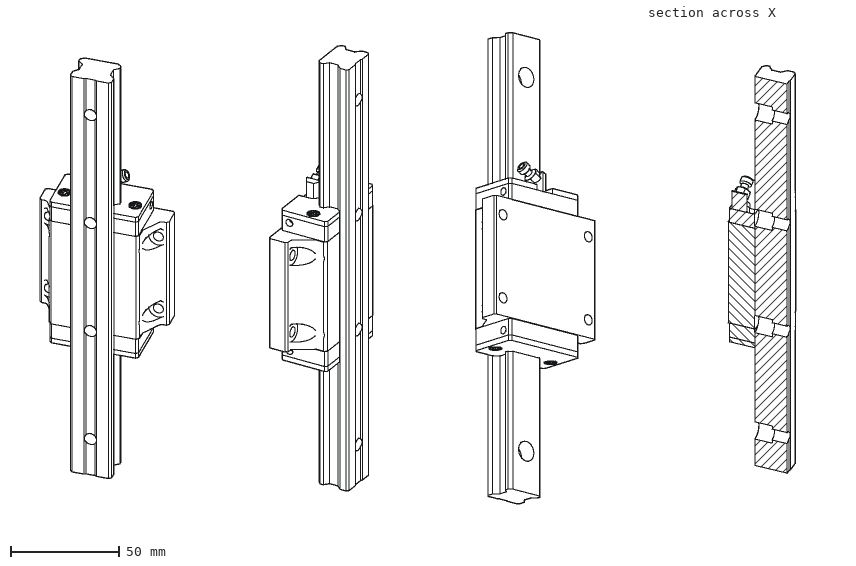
import cadquery as cq
import math


rail_length = 220.0
rail_width = 20.0
rail_height = 16.5
rail_top_width = 16.5
rail_waist_width = 15.2
land_top = 15.0
land_bottom = 13.2
waist_top = 11.2
waist_bottom = 6.8
foot_top = 4.2
foot_chamfer = 1.0
groove_width = 6.2
groove_floor_width = 4.5
groove_depth = 0.5
bolt_hole_diameter = 6.0
bolt_head_diameter = 9.5
bolt_head_depth = 8.5
bolt_pitch = 60.0
bolt_count = 4

block_middle = -4.5
block_length = 57.2
block_width = 63.0
block_top = 30.0
block_bottom = 4.6
body_width = 44.0
body_chamfer = 1.3
flange_bottom = 20.0
flange_top_chamfer = 0.9
flange_bottom_chamfer = 1.0
slope_top_width = 55.5
slope_bottom = 10.5
slope_top_fillet = 2.2
slope_bottom_fillet = 1.0
mount_spacing_x = 53.0
mount_spacing_z = 40.0
mount_hole_diameter = 4.8
spotface_diameter = 9.5

cap_width = 43.1
cap_top = 29.3
cap_chamfer = 1.0
cap_length = 8.0
side_hole_diameter = 3.5
side_hole_depth = 3.3
side_hole_height = 24.6
side_hole_offset = 4.8
seal_thickness = 2.6
screw_spacing = 34.3
screw_height = 14.3
screw_seat_diameter = 6.0
screw_head_diameter = 4.8
screw_recess_depth = 0.7
screw_cross_length = 3.5
screw_cross_width = 1.3
slot_width = 10.0
nipple_height = 24.2

post_corner_width = 8.0
post_length = 10.0
bevel_start = 0.5
fitting_rise = 30.0
fitting_root = 1.0
collar_corner_width = 7.5
collar_length = 2.6
neck_diameter = 3.5
neck_start = 3.5
neck_end = 5.5
head_diameter = 5.7
head_start = 6.2
head_chamfer = 0.7
fitting_length = 9.0
bore_diameter = 2.9
bore_depth = 2.2

full_turn = 360.0
quarter_turn = full_turn / 4
hexagon_sides = 6
block_front = block_middle + block_length / 2
cap_front = block_front + cap_length


def mirrored_outline(right_half):
    """Closed outline from its right half, listed from bottom to top."""
    left_half = [(-x, y) for x, y in reversed(right_half)]
    return cq.Workplane("XY").polyline(right_half + left_half).close()


def rail_bar():
    """Rail without its bolt holes, also used to shape the openings that ride on it."""
    right_half = [
        (groove_floor_width / 2, groove_depth),
        (groove_width / 2, 0),
        (rail_width / 2 - foot_chamfer, 0),
        (rail_width / 2, foot_chamfer),
        (rail_width / 2, foot_top),
        (rail_waist_width / 2, waist_bottom),
        (rail_waist_width / 2, waist_top),
        (rail_width / 2, land_bottom),
        (rail_width / 2, land_top),
        (rail_top_width / 2, rail_height),
    ]
    return mirrored_outline(right_half).extrude(rail_length / 2, both=True)


def make_rail():
    bolt_points = (
        cq.Workplane("XZ", origin=(0, rail_height, 0))
        .rarray(2.2, bolt_pitch, 1, bolt_count)
    )
    bolt_holes = bolt_points.circle(bolt_hole_diameter / 2).extrude(rail_height)
    bolt_heads = bolt_points.circle(bolt_head_diameter / 2).extrude(bolt_head_depth)
    return rail_bar().cut(bolt_holes).cut(bolt_heads)


def make_block():
    right_half = [
        (body_width / 2 - body_chamfer, block_bottom),
        (body_width / 2, block_bottom + body_chamfer),
        (body_width / 2, slope_bottom),
        (slope_top_width / 2, flange_bottom),
        (block_width / 2 - flange_bottom_chamfer, flange_bottom),
        (block_width / 2, flange_bottom + flange_bottom_chamfer),
        (block_width / 2, block_top - flange_top_chamfer),
        (block_width / 2 - flange_top_chamfer, block_top),
    ]
    block = mirrored_outline(right_half).extrude(block_length / 2, both=True)
    slope_ends = [
        (body_width / 2, slope_bottom, slope_bottom_fillet),
        (slope_top_width / 2, flange_bottom, slope_top_fillet),
    ]
    for x, y, radius in slope_ends:
        for side in (-1, 1):
            corner = cq.selectors.NearestToPointSelector((side * x, y, 0))
            block = block.edges("|Z").edges(corner).fillet(radius)
    block = block.translate((0, 0, block_middle))

    mount_points = (
        cq.Workplane("XZ", origin=(0, block_top, block_middle))
        .rarray(mount_spacing_x, mount_spacing_z, 2, 2)
    )
    mount_holes = mount_points.circle(mount_hole_diameter / 2).extrude(block_top)
    spotfaces = (
        cq.Workplane("XZ", origin=(0, flange_bottom, block_middle))
        .rarray(mount_spacing_x, mount_spacing_z, 2, 2)
        .circle(spotface_diameter / 2)
        .extrude(flange_bottom)
    )
    return block.cut(mount_holes).cut(spotfaces).cut(rail_bar())


def end_plate(start, length):
    """Plate with the end caps' outline, wrapped round the rail."""
    height = cap_top - block_bottom
    plate = (
        cq.Workplane("XY", origin=(0, block_bottom + height / 2, start))
        .rect(cap_width, height)
        .extrude(length)
        .edges("|Z")
        .chamfer(cap_chamfer)
    )
    return plate.cut(rail_bar())


def make_cap():
    cap = end_plate(block_front, cap_length)
    for side in (-1, 1):
        hole_mouth = (side * cap_width / 2, side_hole_height, block_front + side_hole_offset)
        hole = (
            cq.Workplane("YZ", origin=hole_mouth)
            .circle(side_hole_diameter / 2)
            .extrude(-side * side_hole_depth)
        )
        cap = cap.cut(hole)
    return cap


def make_seal():
    """End seal with its two cross-recessed screws, which sit flush with its outer face."""
    seal = end_plate(cap_front, seal_thickness)
    for side in (-1, 1):
        screw_centre = (side * screw_spacing / 2, screw_height, cap_front + seal_thickness)
        face = cq.Workplane("XY", origin=screw_centre)
        gap = (
            face.circle(screw_seat_diameter / 2)
            .circle(screw_head_diameter / 2)
            .extrude(-screw_recess_depth)
        )
        cross_arm = face.rect(screw_cross_length, screw_cross_width).extrude(-screw_recess_depth)
        other_arm = face.rect(screw_cross_width, screw_cross_length).extrude(-screw_recess_depth)
        seal = seal.cut(gap).cut(cross_arm).cut(other_arm)
    return seal


def cut_nipple_slot(seal):
    """Round-bottomed slot, open at the seal's top edge."""
    seat = cq.Workplane("XY", origin=(0, nipple_height, cap_front))
    round_end = seat.circle(slot_width / 2).extrude(seal_thickness)
    straight = (
        seat.rect(slot_width, cap_top - nipple_height, centered=(True, False))
        .extrude(seal_thickness)
    )
    return seal.cut(round_end).cut(straight)


def make_nipple():
    """Hexagonal post on the cap's face, with a fitting that leans over toward +X."""
    rise = math.radians(fitting_rise)
    collar_flat_radius = collar_corner_width / 2 * math.cos(math.pi / hexagon_sides)
    post_top = cap_front + post_length

    bevel = cq.Plane(
        origin=(
            bevel_start + collar_flat_radius * math.sin(rise),
            nipple_height,
            post_top - collar_flat_radius * math.cos(rise),
        ),
        xDir=(0, 1, 0),
        normal=(math.cos(rise), 0, math.sin(rise)),
    )
    post = (
        cq.Workplane("XY", origin=(0, nipple_height, cap_front))
        .transformed(rotate=(0, 0, quarter_turn))
        .polygon(hexagon_sides, post_corner_width)
        .extrude(post_length)
    )
    beyond_bevel = cq.Workplane(bevel).rect(2 * post_length, 2 * post_length).extrude(post_length)
    collar = (
        cq.Workplane(bevel)
        .workplane(offset=-fitting_root)
        .polygon(hexagon_sides, collar_corner_width)
        .extrude(fitting_root + collar_length)
    )

    turned_profile = [
        (0, 0),
        (collar_flat_radius, 0),
        (collar_flat_radius, collar_length),
        (neck_diameter / 2, neck_start),
        (neck_diameter / 2, neck_end),
        (head_diameter / 2, head_start),
        (head_diameter / 2, fitting_length - head_chamfer),
        (head_diameter / 2 - head_chamfer, fitting_length),
        (bore_diameter / 2, fitting_length),
        (bore_diameter / 2, fitting_length - bore_depth),
        (0, fitting_length - bore_depth),
    ]
    axial_plane = cq.Plane(origin=bevel.origin, xDir=(0, 1, 0), normal=bevel.xDir.cross(bevel.zDir))
    turned_part = (
        cq.Workplane(axial_plane)
        .polyline(turned_profile)
        .close()
        .revolve(full_turn, (0, 0), (0, 1))
    )
    return post.cut(beyond_bevel).union(collar).union(turned_part)


def mirrored(body):
    """The matching body at the carriage's lower end."""
    return body.mirror("XY", (0, 0, block_middle))


rail = make_rail()
block = make_block()
upper_cap = make_cap()
lower_cap = mirrored(upper_cap)
plain_seal = make_seal()
upper_seal = cut_nipple_slot(plain_seal)
lower_seal = mirrored(plain_seal)
nipple = make_nipple()

bodies = [rail, block, upper_cap, lower_cap, upper_seal, lower_seal, nipple]
result = cq.Compound.makeCompound([body.val() for body in bodies])